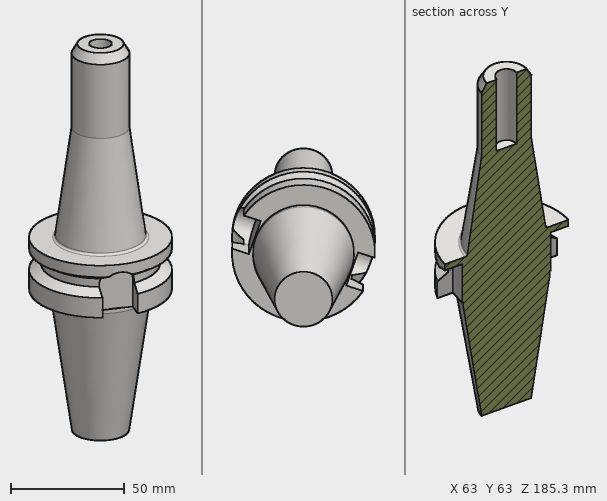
import cadquery as cq
import math

total_height = 185.3
gauge_height = 65.5
gauge_collar_height = 2.0
flange_bottom = gauge_height + gauge_collar_height
flange_height = 25.0
flange_top = flange_bottom + flange_height

gauge_radius = 22.2
taper_ratio = 7 / 24
small_end_radius = gauge_radius - gauge_height * taper_ratio / 2

flange_radius = 31.5
groove_radius = 26.3
groove_flank_angle = math.radians(30)
flank_height = (flange_radius - groove_radius) * math.tan(groove_flank_angle)
lower_rim_height = 9.5
groove_width = 10.0
groove_start = flange_bottom + lower_rim_height
groove_end = groove_start + groove_width

slot_width = 16.1
slot_height = 21.3
slot_floor_distance = 22.6

neck_radius = 20.0
neck_fillet = 1.1
shank_radius = 12.8
shank_bottom = 145.5
tip_radius = 10.2
tip_chamfer_angle = math.radians(30)
tip_chamfer_height = (shank_radius - tip_radius) / math.tan(tip_chamfer_angle)

bore_diameter = 10.0
bore_depth = total_height - shank_bottom


def make_holder():
    """Revolve the half-profile of the holder about the Z axis."""
    neck_start = flange_top + neck_fillet
    profile = (
        cq.Workplane("XZ")
        .moveTo(0, 0)
        .lineTo(small_end_radius, 0)
        .lineTo(gauge_radius, gauge_height)
        .lineTo(gauge_radius, flange_bottom)
        .lineTo(flange_radius, flange_bottom)
        .lineTo(flange_radius, groove_start)
        .lineTo(groove_radius, groove_start + flank_height)
        .lineTo(groove_radius, groove_end - flank_height)
        .lineTo(flange_radius, groove_end)
        .lineTo(flange_radius, flange_top)
        .lineTo(neck_radius + neck_fillet, flange_top)
        .radiusArc((neck_radius, neck_start), neck_fillet)
        .lineTo(shank_radius, shank_bottom)
        .lineTo(shank_radius, total_height - tip_chamfer_height)
        .lineTo(tip_radius, total_height)
        .lineTo(0, total_height)
        .close()
    )
    return profile.revolve(360, (0, 0, 0), (0, 1, 0))


def make_drive_slot(side):
    """Round-topped slot cutter, open at the flange bottom; side is -1 or +1."""
    half_width = slot_width / 2
    arch_base = flange_bottom + slot_height - half_width
    cutter_length = side * (flange_radius - slot_floor_distance)
    return (
        cq.Workplane("YZ", origin=(side * slot_floor_distance, 0, 0))
        .moveTo(-half_width, flange_bottom)
        .lineTo(-half_width, arch_base)
        .threePointArc((0, flange_bottom + slot_height), (half_width, arch_base))
        .lineTo(half_width, flange_bottom)
        .close()
        .extrude(cutter_length)
    )


result = make_holder()
for side in (-1, 1):
    result = result.cut(make_drive_slot(side))
result = result.faces(">Z").workplane().hole(bore_diameter, bore_depth)